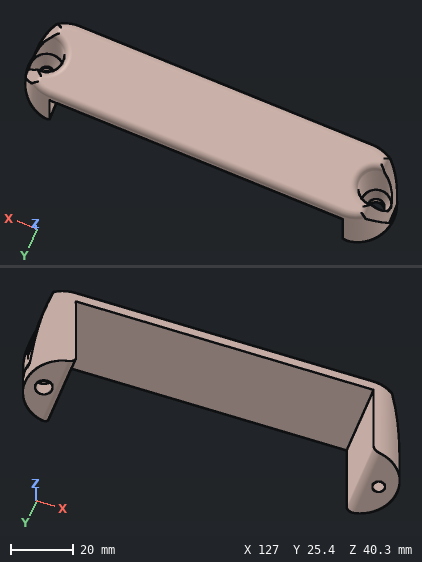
import cadquery as cq

length = 127.0
width = 25.4
height = 40.3
end_radius = width / 2
bar_thickness = 6.5
edge_radius = 2.5
foot_radius = 2.5

ledge_height = 6.5
relief_half_width_bottom = 3.2
relief_half_width_top = 11.0

recess_inset = 6.4
recess_diameter = 11.4
tapered_floor_diameter = 9.9
recess_floor_height = 10.2

clearance_diameter = 5.6
seat_diameter = 4.8
narrow_diameter = 4.1
clearance_seat_height = 5.7
narrow_seat_height = 5.7

leg_center_x = length / 2 - end_radius
recess_x = length / 2 - recess_inset


def handle_blank():
    """Rounded-end block with the hand opening removed from below."""
    block = cq.Workplane("XY").slot2D(length, width).extrude(height)
    opening = cq.Workplane("XY").box(
        2 * leg_center_x, width, height - bar_thickness, centered=(True, True, False)
    )
    blank = block.cut(opening)
    inner_foot_edges = cq.selectors.BoxSelector(
        (-leg_center_x - 0.1, -width, -0.1), (leg_center_x + 0.1, width, 0.1), boundingbox=True
    )
    return blank.edges(inner_foot_edges).fillet(foot_radius)


def leg_relief():
    """Cutter for the -X leg whose border on the round leg is a straight V seen from the end."""
    slope = (relief_half_width_top - relief_half_width_bottom) / (height - ledge_height)
    ellipse_center_z = ledge_height - relief_half_width_bottom / slope
    kept = (
        cq.Workplane("XZ", origin=(-leg_center_x, width, ellipse_center_z))
        .ellipse(end_radius, end_radius / slope)
        .extrude(2 * width)
    )
    outside = cq.Workplane("XY", origin=(-leg_center_x - end_radius, 0, ledge_height)).box(
        2 * end_radius, 2 * width, height, centered=(True, True, False)
    )
    return outside.cut(kept)


def cone(x, bottom_z, bottom_diameter, top_z, top_diameter):
    return cq.Workplane(
        cq.Solid.makeCone(
            bottom_diameter / 2, top_diameter / 2, top_z - bottom_z, cq.Vector(x, 0, bottom_z)
        )
    )


def tapered_recess(x):
    return cone(x, recess_floor_height, tapered_floor_diameter, height, recess_diameter)


def straight_recess(x):
    depth = height - recess_floor_height
    return cq.Workplane("XY", origin=(x, 0, recess_floor_height)).circle(recess_diameter / 2).extrude(depth)


def screw_hole(x, diameter, seat_bottom_diameter, seat_height, floor_diameter):
    """Through hole below a conical screw seat that meets the recess floor."""
    shank = cq.Workplane("XY").center(x, 0).circle(diameter / 2).extrude(recess_floor_height)
    return shank.union(cone(x, seat_height, seat_bottom_diameter, recess_floor_height, floor_diameter))


result = handle_blank()
relief = leg_relief()
result = result.cut(relief).cut(relief.mirror("YZ"))
result = result.cut(tapered_recess(-recess_x)).cut(straight_recess(recess_x))
result = result.faces(">Z").edges().fillet(edge_radius)
result = result.cut(
    screw_hole(
        -recess_x, clearance_diameter, clearance_diameter, clearance_seat_height, tapered_floor_diameter
    )
)
result = result.cut(
    screw_hole(recess_x, narrow_diameter, seat_diameter, narrow_seat_height, recess_diameter)
)